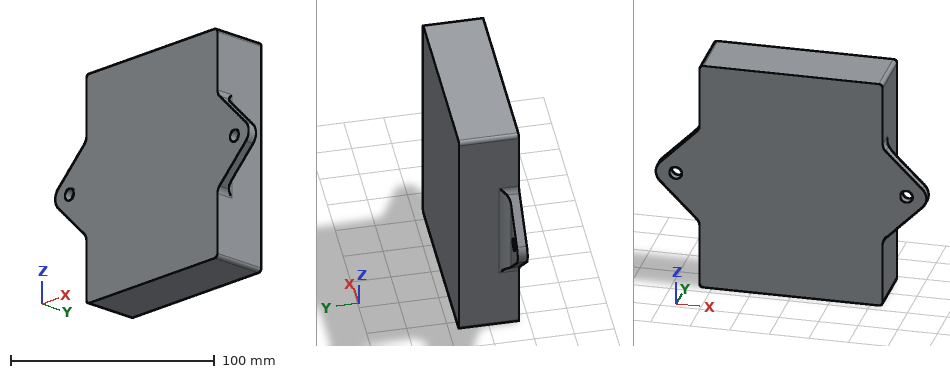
import cadquery as cq
import math

body_height = 119.96
body_depth = 30.0
overall_width = 136.73
corner_radius = 2.0

ear_center_z = 0.45
ear_thickness = 5.0
ear_base_half_height = 25.0
ear_slope = math.radians(45)
ear_tip_radius = 7.1
ear_root_radius = 5.0
ear_face_fillet = 5.0
hole_diameter = 6.2
hole_spacing = 116.6

ear_apex_reach = ear_base_half_height / math.tan(ear_slope)
tip_shortening = ear_tip_radius * (1 / math.sin(ear_slope) - 1)
ear_reach = ear_apex_reach - tip_shortening
body_width = overall_width - 2 * ear_reach
side_x = body_width / 2
tip_x = overall_width / 2

tip_tangent_x = tip_x - ear_tip_radius * (1 - math.sin(ear_slope))
tip_tangent_z = ear_tip_radius * math.cos(ear_slope)
root_setback = ear_root_radius * math.tan((math.pi / 2 - ear_slope) / 2)
root_top_z = ear_base_half_height + root_setback
root_tangent_x = side_x + root_setback * math.cos(ear_slope)
root_tangent_z = ear_base_half_height - root_setback * math.sin(ear_slope)


def make_body():
    """Block with its four edges along Y rounded."""
    block = cq.Workplane("XZ").rect(body_width, body_height).extrude(-body_depth)
    return block.edges("|Y").fillet(corner_radius)


def make_ear_outline():
    """Plan shape of the +X ear centred on Z = 0, as deep as the ear and its face fillet together."""
    outline = (
        cq.Workplane("XZ")
        .moveTo(0, root_top_z)
        .lineTo(side_x, root_top_z)
        .radiusArc((root_tangent_x, root_tangent_z), -ear_root_radius)
        .lineTo(tip_tangent_x, tip_tangent_z)
        .threePointArc((tip_x, 0), (tip_tangent_x, -tip_tangent_z))
        .lineTo(root_tangent_x, -root_tangent_z)
        .radiusArc((side_x, -root_top_z), -ear_root_radius)
        .lineTo(0, -root_top_z)
        .close()
    )
    return outline.extrude(-(ear_thickness + ear_face_fillet))


def make_ear_thickness_profile():
    """Thin plate that curves up to meet the side of the body, running along Z."""
    fillet_top_y = ear_thickness + ear_face_fillet
    profile = (
        cq.Workplane("XY", origin=(0, 0, -body_height / 2))
        .lineTo(tip_x, 0)
        .lineTo(tip_x, ear_thickness)
        .lineTo(side_x + ear_face_fillet, ear_thickness)
        .radiusArc((side_x, fillet_top_y), ear_face_fillet)
        .lineTo(0, fillet_top_y)
        .close()
    )
    return profile.extrude(body_height)


def make_holes():
    """Mounting holes, one through each ear, centred on Z = 0."""
    centers = [(-hole_spacing / 2, 0), (hole_spacing / 2, 0)]
    return cq.Workplane("XZ").pushPoints(centers).circle(hole_diameter / 2).extrude(-ear_thickness)


right_ear = make_ear_outline().intersect(make_ear_thickness_profile())
left_ear = right_ear.mirror("YZ")
ears = right_ear.union(left_ear).cut(make_holes())
result = make_body().union(ears.translate((0, 0, ear_center_z)))